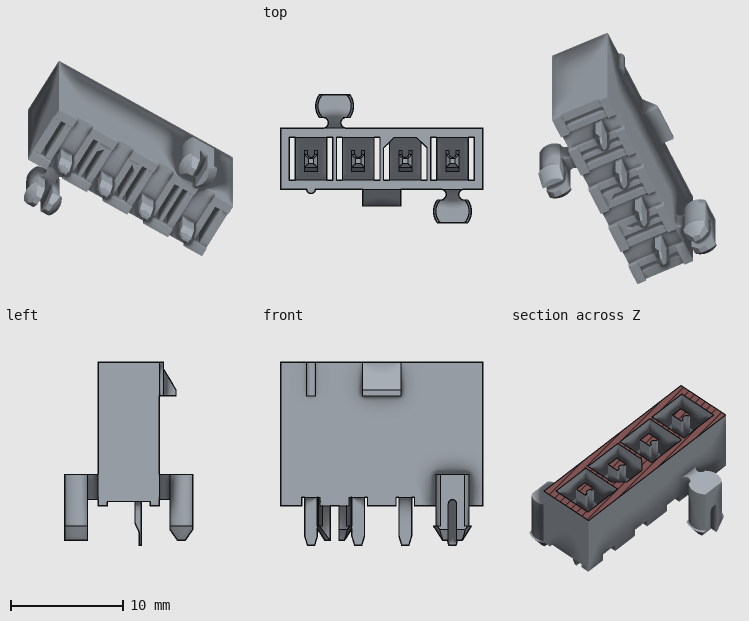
import cadquery as cq


LENGTH = 18.0
DEPTH = 5.45
HEIGHT = 12.8
PITCH = 4.2
PIN_COUNT = 4
PIN_XS = [(i - (PIN_COUNT - 1) / 2) * PITCH for i in range(PIN_COUNT)]
FRONT_Y = -DEPTH / 2

CAVITY_WIDTH = 3.85
CAVITY_DEPTH = 3.82
FLOOR_TOP = 3.6
FLOOR_WIDTH = 2.83
KEYED_CAVITY = 2
KEY_CHAMFER = 0.95

RECESS_HEIGHT = 0.38
NOTCH_WIDTH = 1.62
NOTCH_HEIGHT = 0.75

LATCH_WIDTH = 3.4
LATCH_REACH = 1.5
LATCH_HEIGHT = 3.0
LATCH_LIP = 0.5
RIB_RADIUS = 0.4
RIB_REACH = 0.38

PIN_WIDTH = 1.15
PIN_FRONT_Y = -1.13
TAIL_THICK = 0.6
TAIL_BOTTOM = -3.51
TAIL_THIN = 0.22
THIN_START = -1.51
THIN_END = -2.34
TAIL_TIP_WIDTH = 0.65
TAIL_TAPER_START = -2.66
BASE_BACK_Y = 0.74
SHOULDER_HEIGHT = 0.22
BASE_TOP = 4.32
BLADE_FRONT_Y = -0.77
BLADE_TOP = 9.9
BLADE_TIP = 0.47
BLADE_TIP_HEIGHT = 0.54
GROOVE_WIDTH = 0.61
GROOVE_END_Y = 0.1

DEPTH_OVER_PEGS = 11.4
PEG_REACH = (DEPTH_OVER_PEGS - DEPTH) / 2
PEG_DEPTH = 2.03
PEG_RADIUS = 1.48
PEG_TOP = 2.8
BARB_RADIUS = 1.7
BARB_TOP = -1.8
PEG_BOTTOM = -3.06
TIP_MIDDLE = 0.88
TIP_CORNER = 0.41
NECK_HEIGHT = 2.25
NECK_END_WIDTH = 1.95
NECK_WAIST = 1.13
SPLIT_WIDTH = 0.75
SPLIT_TOP = 0.54
PEG_CHAMFER_TOP = -2.1
PEG_TIP_DEPTH = 0.68
FRONT_PEG_X = PIN_XS[-1]
BACK_PEG_X = -PITCH

OVERLAP = 0.18


def box(x_min, x_max, y_min, y_max, z_min, z_max):
    size = (x_max - x_min, y_max - y_min, z_max - z_min)
    return cq.Workplane("XY").box(*size, centered=False).translate((x_min, y_min, z_min))


def prism_along_x(points, width):
    """Extrude a (y, z) outline evenly to both sides of x = 0."""
    return cq.Workplane("YZ").polyline(points).close().extrude(width / 2, both=True)


def make_cavity(index):
    opening = box(-CAVITY_WIDTH / 2, CAVITY_WIDTH / 2, -CAVITY_DEPTH / 2, CAVITY_DEPTH / 2, 0, HEIGHT)
    if index == KEYED_CAVITY:
        opening = opening.edges("|Z and >Y").chamfer(KEY_CHAMFER)
    floor = box(-FLOOR_WIDTH / 2, FLOOR_WIDTH / 2, -DEPTH / 2, DEPTH / 2, 0, FLOOR_TOP)
    return opening.cut(floor)


def make_housing():
    body = box(-LENGTH / 2, LENGTH / 2, -DEPTH / 2, DEPTH / 2, 0, HEIGHT)
    for index, x in enumerate(PIN_XS):
        body = body.cut(make_cavity(index).translate((x, 0, 0)))
        body = body.cut(
            box(x - NOTCH_WIDTH / 2, x + NOTCH_WIDTH / 2, -DEPTH / 2, DEPTH / 2, 0, NOTCH_HEIGHT)
        )
    return body.cut(box(-LENGTH / 2, LENGTH / 2, -CAVITY_DEPTH / 2, CAVITY_DEPTH / 2, 0, RECESS_HEIGHT))


def make_latch():
    bottom = HEIGHT - LATCH_HEIGHT
    outer_y = FRONT_Y - LATCH_REACH
    outline = [
        (FRONT_Y + OVERLAP, HEIGHT),
        (FRONT_Y, HEIGHT),
        (outer_y, bottom + LATCH_LIP),
        (outer_y, bottom),
        (FRONT_Y + OVERLAP, bottom),
    ]
    return prism_along_x(outline, LATCH_WIDTH)


def make_rib():
    rib = cq.Workplane("XY").circle(RIB_RADIUS).extrude(LATCH_HEIGHT)
    center_y = FRONT_Y - RIB_REACH + RIB_RADIUS
    return rib.translate((PIN_XS[0], center_y, HEIGHT - LATCH_HEIGHT))


def make_tail():
    back_y = PIN_FRONT_Y + TAIL_THICK
    thin_y = PIN_FRONT_Y + TAIL_THIN
    side = prism_along_x(
        [
            (PIN_FRONT_Y, FLOOR_TOP),
            (PIN_FRONT_Y, TAIL_BOTTOM),
            (thin_y, TAIL_BOTTOM),
            (thin_y, THIN_END),
            (back_y, THIN_START),
            (back_y, FLOOR_TOP),
        ],
        PIN_WIDTH,
    )
    face = (
        cq.Workplane("XZ")
        .polyline(
            [
                (-PIN_WIDTH / 2, FLOOR_TOP),
                (PIN_WIDTH / 2, FLOOR_TOP),
                (PIN_WIDTH / 2, TAIL_TAPER_START),
                (TAIL_TIP_WIDTH / 2, TAIL_BOTTOM),
                (-TAIL_TIP_WIDTH / 2, TAIL_BOTTOM),
                (-PIN_WIDTH / 2, TAIL_TAPER_START),
            ]
        )
        .close()
        .extrude(DEPTH / 2, both=True)
    )
    return side.intersect(face)


def make_contact():
    """Grooved base with a sloped front shoulder, carrying a square pointed blade."""
    base = prism_along_x(
        [
            (PIN_FRONT_Y, FLOOR_TOP - OVERLAP),
            (BASE_BACK_Y, FLOOR_TOP - OVERLAP),
            (BASE_BACK_Y, BASE_TOP),
            (BLADE_FRONT_Y, BASE_TOP),
            (PIN_FRONT_Y, BASE_TOP - SHOULDER_HEIGHT),
        ],
        PIN_WIDTH,
    )
    blade_y = BLADE_FRONT_Y + PIN_WIDTH / 2
    tip_start = BLADE_TOP - BLADE_TIP_HEIGHT
    blade = (
        cq.Workplane("XY", origin=(0, blade_y, FLOOR_TOP))
        .rect(PIN_WIDTH, PIN_WIDTH)
        .extrude(tip_start - FLOOR_TOP)
    )
    tip = (
        cq.Workplane("XY", origin=(0, blade_y, tip_start))
        .rect(PIN_WIDTH, PIN_WIDTH)
        .workplane(offset=BLADE_TIP_HEIGHT)
        .rect(BLADE_TIP, BLADE_TIP)
        .loft(ruled=True)
    )
    groove_radius = GROOVE_WIDTH / 2
    groove_center_y = GROOVE_END_Y + groove_radius
    groove = (
        cq.Workplane("XY", origin=(0, 0, FLOOR_TOP))
        .moveTo(-groove_radius, BASE_BACK_Y)
        .lineTo(-groove_radius, groove_center_y)
        .threePointArc((0, GROOVE_END_Y), (groove_radius, groove_center_y))
        .lineTo(groove_radius, BASE_BACK_Y)
        .close()
        .extrude(BLADE_TOP - FLOOR_TOP)
    )
    return base.union(blade).union(tip).cut(groove)


def flat_sided(plane, corner, middle):
    """Round outline cut by two flats: half widths at the flats and on the centre line."""
    flat = PEG_DEPTH / 2
    return (
        plane.moveTo(-corner, -flat)
        .lineTo(corner, -flat)
        .threePointArc((middle, 0), (corner, flat))
        .lineTo(-corner, flat)
        .threePointArc((-middle, 0), (-corner, -flat))
        .close()
    )


def half_width_at_flat(radius):
    return (radius**2 - (PEG_DEPTH / 2) ** 2) ** 0.5


def make_neck():
    start_y = PEG_DEPTH / 2
    wall_y = PEG_REACH - PEG_DEPTH / 2
    waist_y = (start_y + wall_y) / 2
    end = NECK_END_WIDTH / 2
    waist = NECK_WAIST / 2
    return (
        cq.Workplane("XY", origin=(0, 0, PEG_TOP - NECK_HEIGHT))
        .moveTo(-end, start_y - OVERLAP)
        .lineTo(end, start_y - OVERLAP)
        .lineTo(end, start_y)
        .threePointArc((waist, waist_y), (end, wall_y))
        .lineTo(end, wall_y + OVERLAP)
        .lineTo(-end, wall_y + OVERLAP)
        .lineTo(-end, wall_y)
        .threePointArc((-waist, waist_y), (-end, start_y))
        .close()
        .extrude(NECK_HEIGHT)
    )


def make_tip_chamfer(x_min):
    """Wedges that narrow the peg tip in Y, from x_min to the +X side of the peg."""
    flat = PEG_DEPTH / 2
    wedge = (
        cq.Workplane("YZ", origin=(x_min, 0, 0))
        .polyline(
            [
                (-flat, PEG_CHAMFER_TOP),
                (-PEG_TIP_DEPTH / 2, PEG_BOTTOM),
                (-flat, PEG_BOTTOM),
            ]
        )
        .close()
        .extrude(BARB_RADIUS - x_min)
    )
    return wedge.union(wedge.mirror("XZ"))


def make_peg(chamfer_x_min):
    """Split peg centred on the Z axis, with its neck pointing to +Y."""
    shank = flat_sided(
        cq.Workplane("XY", origin=(0, 0, BARB_TOP)), half_width_at_flat(PEG_RADIUS), PEG_RADIUS
    ).extrude(PEG_TOP - BARB_TOP)
    barb_top = flat_sided(
        cq.Workplane("XY", origin=(0, 0, BARB_TOP)), half_width_at_flat(BARB_RADIUS), BARB_RADIUS
    )
    barb = flat_sided(
        barb_top.workplane(offset=PEG_BOTTOM - BARB_TOP), TIP_CORNER, TIP_MIDDLE
    ).loft(ruled=True)
    split_radius = SPLIT_WIDTH / 2
    split_shoulder = SPLIT_TOP - split_radius
    split = (
        cq.Workplane("XZ")
        .moveTo(-split_radius, PEG_BOTTOM)
        .lineTo(split_radius, PEG_BOTTOM)
        .lineTo(split_radius, split_shoulder)
        .threePointArc((0, SPLIT_TOP), (-split_radius, split_shoulder))
        .close()
        .extrude(PEG_DEPTH, both=True)
    )
    peg = shank.union(barb).cut(split).cut(make_tip_chamfer(chamfer_x_min))
    return peg.union(make_neck())


result = make_housing().union(make_latch()).union(make_rib())

pin = make_tail().union(make_contact())
for pin_x in PIN_XS:
    result = result.union(pin.translate((pin_x, 0, 0)))

peg_center_y = DEPTH / 2 + PEG_REACH - PEG_DEPTH / 2
front_peg = make_peg(-BARB_RADIUS)
back_peg = make_peg(0).mirror("XZ")
result = result.union(front_peg.translate((FRONT_PEG_X, -peg_center_y, 0)))
result = result.union(back_peg.translate((BACK_PEG_X, peg_center_y, 0)))